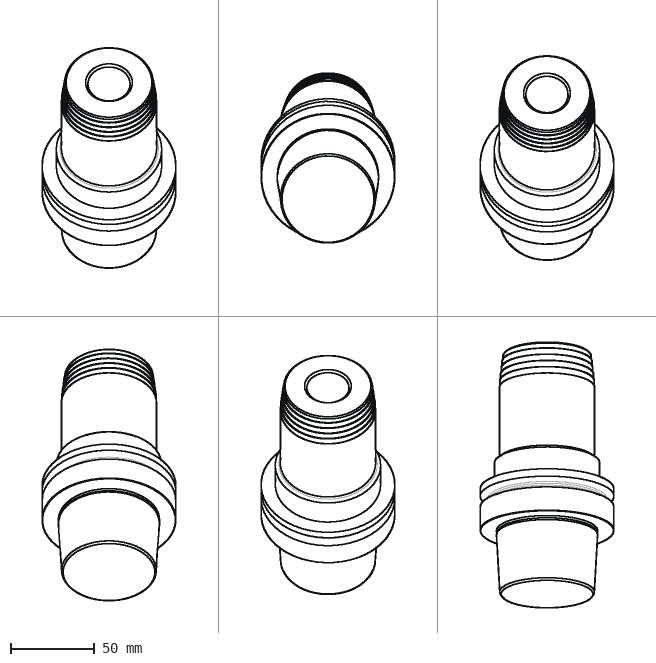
import cadquery as cq

total_height = 149.9
flange_bottom = 39.7
flange_top = 66.0
collar_top = 83.6
nose_bottom = 129.7

shank_end_radius = 28.3
shank_top_radius = 30.3
shank_end_chamfer = 1.3
shank_end_chamfer_depth = 0.9
neck_height = 2.5
neck_radius = 29.8

flange_radius = 40.0
flange_chamfer = 0.3
groove_floor_radius = 35.2
groove_fillet = 1.0
groove_bottom = 54.5
groove_top = 61.3
groove_floor_bottom = 56.7
groove_floor_top = 59.2

collar_radius = 31.5
collar_chamfer_height = 1.3
collar_top_radius = 29.4
body_radius = 28.5
body_blend_height = 0.7
nose_end_radius = 26.5
nose_ring_count = 5
largest_ring_radius = 28.3
nose_chamfer = 0.9

bore_radius = 12.6
bore_depth = 51.0
bore_chamfer = 1.3


def shank_profile():
    """Outline of the taper shank, from the axis out and up to the flange."""
    return [
        (0, 0),
        (shank_end_radius - shank_end_chamfer_depth, 0),
        (shank_end_radius, shank_end_chamfer),
        (shank_top_radius, flange_bottom - neck_height),
        (neck_radius, flange_bottom - neck_height / 2),
        (shank_top_radius, flange_bottom),
    ]


def flange_profile():
    """Outline of the flange, dipping into the gripper groove."""
    return [
        (flange_radius - flange_chamfer, flange_bottom),
        (flange_radius, flange_bottom + flange_chamfer),
        (flange_radius, groove_bottom),
        (groove_floor_radius, groove_floor_bottom),
        (groove_floor_radius, groove_floor_top),
        (flange_radius, groove_top),
        (flange_radius, flange_top),
    ]


def nose_steps():
    """Inner and outer corner of every ledge, from the body up to the nose end."""
    ring_height = (total_height - nose_bottom) / nose_ring_count
    ledge_width = (largest_ring_radius - nose_end_radius) / (nose_ring_count - 1)
    corners = []
    radius_below = body_radius
    for ring in range(nose_ring_count):
        ledge_height = nose_bottom + ring * ring_height
        ring_radius = largest_ring_radius - ring * ledge_width
        corners.append((radius_below, ledge_height))
        corners.append((ring_radius, ledge_height))
        radius_below = ring_radius
    return corners


def body_profile():
    """Outline of the collar, cylindrical body and stepped nose, back to the axis."""
    return [
        (collar_radius, flange_top),
        (collar_radius, collar_top - collar_chamfer_height),
        (collar_top_radius, collar_top),
        (body_radius, collar_top + body_blend_height),
        *nose_steps(),
        (nose_end_radius, total_height - nose_chamfer),
        (nose_end_radius - nose_chamfer, total_height),
        (0, total_height),
    ]


def turned_body():
    outline = shank_profile() + flange_profile() + body_profile()
    return cq.Workplane("XZ").polyline(outline).close().revolve(360, (0, 0), (0, 1))


def round_groove_floor(body):
    """Fillet both inner corners of the gripper groove."""
    for height in (groove_floor_bottom, groove_floor_top):
        corner = cq.selectors.NearestToPointSelector((0, 0, height))
        body = body.edges("%CIRCLE").edges(corner).fillet(groove_fillet)
    return body


def tool_bore():
    """Blind bore from the nose face with a chamfered mouth."""
    outline = [
        (0, total_height - bore_depth),
        (bore_radius, total_height - bore_depth),
        (bore_radius, total_height - bore_chamfer),
        (bore_radius + bore_chamfer, total_height),
        (0, total_height),
    ]
    return cq.Workplane("XZ").polyline(outline).close().revolve(360, (0, 0), (0, 1))


result = round_groove_floor(turned_body()).cut(tool_bore())